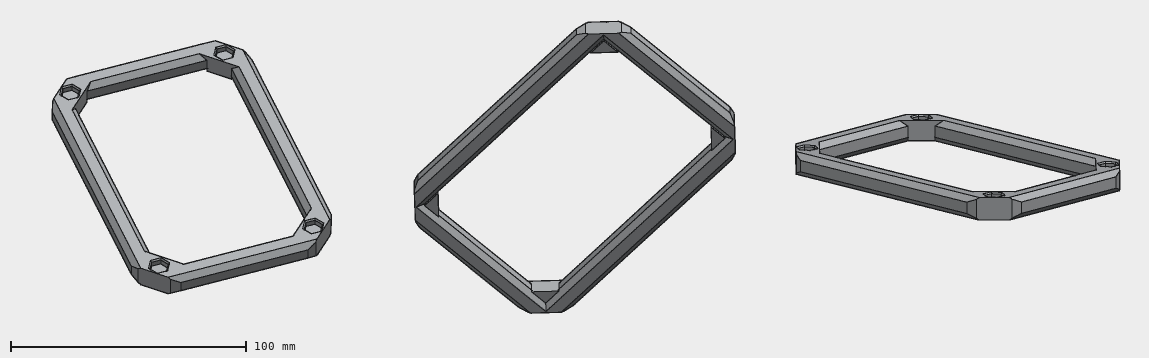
import cadquery as cq
import math

length = 131.2
width = 90.3
bar = 10.0
bevel = bar / 4
inner_length = length - 2 * bar
inner_width = width - 2 * bar

corner_cut = 14.0
ease_start = 16.4
ease_angle = 22.5
inner_cut = corner_cut + bar * math.sqrt(2)

underside_step = 1.0

pocket_inset = 10.4
pocket_flats = 7.1
pocket_depth = 3.0
mouth_flats = 8.3
mouth_depth = 0.7


def octagon_prism(cut):
    """Full-height block whose corners are removed at 45 degrees with the given leg."""
    return cq.Workplane("XY").box(length, width, bar).edges("|Z").chamfer(cut)


def outer_body():
    """Bevelled block with the eased corner outline."""
    block = cq.Workplane("XY").box(length, width, bar)
    block = block.faces("<X or >X or <Y or >Y").edges("not |Z").chamfer(bevel)
    ease_rise = (ease_start - corner_cut) / (1 / math.tan(math.radians(ease_angle)) - 1)
    ease_run = corner_cut - ease_rise
    half_x = length / 2
    half_y = width / 2
    outline = []
    for sign_x, sign_y in ((1, 1), (-1, 1), (-1, -1), (1, -1)):
        corner = [
            (sign_x * half_x, sign_y * (half_y - ease_start)),
            (sign_x * (half_x - ease_rise), sign_y * (half_y - ease_run)),
            (sign_x * (half_x - ease_run), sign_y * (half_y - ease_rise)),
            (sign_x * (half_x - ease_start), sign_y * half_y),
        ]
        outline += corner if sign_x == sign_y else corner[::-1]
    prism = cq.Workplane("XY").polyline(outline).close().extrude(bar / 2, both=True)
    return block.intersect(prism)


def flared_half():
    """Upper half of the opening, widening towards the top along the inner bevel."""
    straight = cq.Workplane("XY").rect(inner_length, inner_width).extrude(bar / 2)
    flare = (
        cq.Workplane("XY")
        .workplane(offset=bar / 2 - bevel)
        .rect(inner_length, inner_width)
        .workplane(offset=bevel)
        .rect(inner_length + 2 * bevel, inner_width + 2 * bevel)
        .loft(ruled=True)
    )
    return straight.union(flare)


def corner_webs():
    """Triangles filling the corners of the lower half of the opening, raised off the underside."""
    web_height = bar / 2 - underside_step
    straight = cq.Workplane("XY").rect(inner_length, inner_width).extrude(-web_height)
    return straight.cut(octagon_prism(inner_cut))


def opening():
    """Window with bevelled edges; its underside bevels run past the corner webs."""
    upper = flared_half()
    lower = upper.mirror("XY").cut(corner_webs())
    return upper.intersect(octagon_prism(inner_cut)).union(lower)


def hexagon(plane, flats):
    """Hexagon with two sides parallel to Y."""
    circumradius = flats / math.sqrt(3)
    corners = []
    for index in range(6):
        angle = math.radians(30 + 60 * index)
        corners.append((circumradius * math.cos(angle), circumradius * math.sin(angle)))
    return plane.polyline(corners).close()


def nut_pocket():
    """Blind hexagonal pocket with a tapered mouth, opening upwards at the top face."""
    top = cq.Workplane("XY", origin=(0, 0, bar / 2))
    pocket = hexagon(top, pocket_flats).extrude(-pocket_depth)
    mouth_rim = hexagon(top, mouth_flats)
    mouth = hexagon(mouth_rim.workplane(offset=-mouth_depth), pocket_flats).loft(ruled=True)
    return pocket.union(mouth)


result = outer_body().cut(opening())
pocket = nut_pocket()
for sign_x in (-1, 1):
    for sign_y in (-1, 1):
        pocket_x = sign_x * (length / 2 - pocket_inset)
        pocket_y = sign_y * (width / 2 - pocket_inset)
        result = result.cut(pocket.translate((pocket_x, pocket_y, 0)))